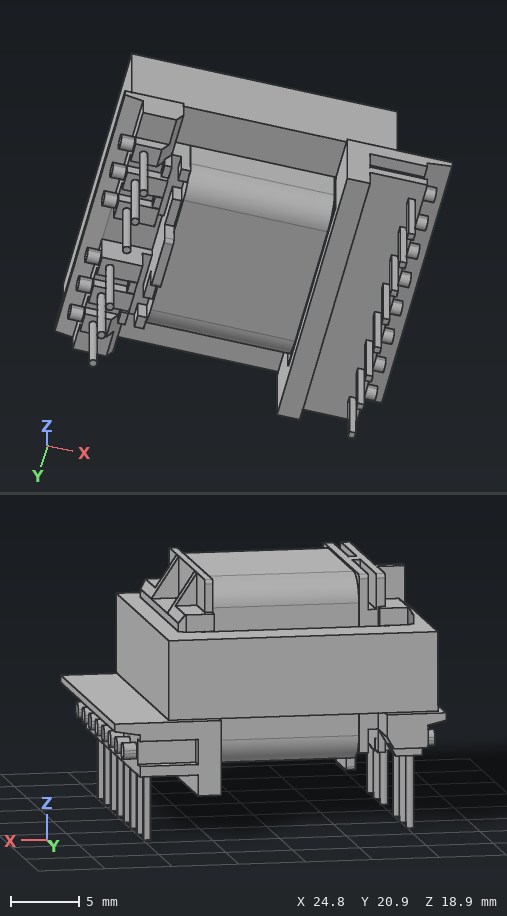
import cadquery as cq


CORE_X = 20.15
CORE_Y = 20.34
CORE_BOTTOM_Z = 0.1
CORE_TOP_Z = 6.03
WINDOW_X = 13.99
WINDOW_OUTER_Y = 7.05
LEG_HALF_Y = 2.95

TUBE_HALF_Y = 3.08
TUBE_TOP_Z = 6.18
FLANGE_END_X = 6.75
FLANGE_HALF_Y = 6.97
FLANGE_TOP_Z = 9.9
FLANGE_ROUND = 0.3
PIN_FLANGE_INNER_X = -4.79
BLOCK_FLANGE_INNER_X = 6.15
BLOCK_FLANGE_BOTTOM_Z = -4.2
WINDING_HALF_Y = 6.85
WINDING_TOP_Z = 9.8
WINDING_BOTTOM_Z = -4.12
WINDING_ROUND = 2.0

SLOT_OUTER_X = -6.08
SLOT_INNER_X = -5.48
SLOT_FLOOR_Z = 7.27
SLOT_BRIDGE_Y = 1.5
SLOT_ROOF_Z = -1.65
PIN_FLANGE_BOTTOM_Z = -3.42
WIRE_EXIT_NEAR_Y = 4.35
WIRE_EXIT_FAR_Y = 5.98
TAB_HALF_Y = 2.08

LEDGE_INNER_X = 6.2
LEDGE_END_X = 8.8
LEDGE_HALF_Y = 7.75
LEDGE_TOP_Z = 7.46
LEDGE_FLOOR_Z = 6.8
LEDGE_CORNER_X = 0.52
LEDGE_CORNER_Y = 0.42
RIB_THICKNESS = 0.82

RAIL_Y = 20.9
RAIL_INNER_X = 6.2
LIP_EDGE_Z = -0.57
LIP_ROOT_Z = -0.9
PIN_RAIL_END_X = -10.65
PIN_RAIL_FACE_X = -9.28
PIN_RAIL_BOTTOM_Z = -2.55
TOOTH_BOTTOM_Z = -3.5
TOOTH_WIDTH = 1.51
CORNER_CUT_X = 1.1
BLOCK_RAIL_END_X = 14.15
BLOCK_RAIL_FACE_X = 12.28
BLOCK_RAIL_BOTTOM_Z = -4.02
BLOCK_WALL_X = 7.94
BLOCK_WALL_BOTTOM_Z = -5.58
GROOVE_TOP_Z = -1.36
GROOVE_BOTTOM_Z = -3.22
GROOVE_DEPTH = 0.95

PIN_PITCH = 2.5
OVERALL_HEIGHT = 18.9
PIN_TIP_Z = FLANGE_TOP_Z - OVERALL_HEIGHT
ROUND_PIN_X = -8.48
ROUND_PIN_DIAMETER = 0.6
SQUARE_PIN_X = 11.45
SQUARE_PIN_SIDE = 0.5
HEAD_LENGTH = 1.0
HEAD_WIDTH = 1.0
HEAD_HEIGHT = 1.22
HEAD_Z = -2.33
ROUND_PIN_YS = [side * step * PIN_PITCH for side in (-1, 1) for step in (1, 2, 3)]
SQUARE_PIN_YS = [side * (step + 0.5) * PIN_PITCH for side in (-1, 1) for step in range(4)]


def block(x_range, y_range, z_range):
    """Box between the given pairs of X, Y and Z limits."""
    size = [high - low for low, high in (x_range, y_range, z_range)]
    return cq.Workplane("XY").box(*size, centered=False).translate((x_range[0], y_range[0], z_range[0]))


def both_sides(half_y):
    """Y limits of a feature centred on the XZ plane."""
    return (-half_y, half_y)


def prism(xz_points, y_range):
    """XZ outline extruded along Y between two limits."""
    outline = cq.Workplane("XZ", origin=(0, y_range[1], 0)).polyline(xz_points).close()
    return outline.extrude(y_range[1] - y_range[0])


def make_core():
    core_z = (CORE_BOTTOM_Z, CORE_TOP_Z)
    core = block(both_sides(CORE_X / 2), both_sides(CORE_Y / 2), core_z)
    for window_y in ((LEG_HALF_Y, WINDOW_OUTER_Y), (-WINDOW_OUTER_Y, -LEG_HALF_Y)):
        core = core.cut(block(both_sides(WINDOW_X / 2), window_y, core_z))
    return core


def make_flange(x_range, bottom_z):
    """Flange plate with rounded upper corners."""
    plate = block(x_range, both_sides(FLANGE_HALF_Y), (bottom_z, FLANGE_TOP_Z))
    return plate.edges("|X and >Z").fillet(FLANGE_ROUND)


def make_pin_flange():
    """-X flange: two plates joined by a web, with a tab under the inner plate."""
    flange = make_flange((-FLANGE_END_X, PIN_FLANGE_INNER_X), PIN_FLANGE_BOTTOM_Z)
    slot_x = (SLOT_OUTER_X, SLOT_INNER_X)
    upper_slot = block(slot_x, both_sides(FLANGE_HALF_Y), (SLOT_FLOOR_Z, FLANGE_TOP_Z))
    bridge = block(slot_x, both_sides(SLOT_BRIDGE_Y / 2), (SLOT_FLOOR_Z, FLANGE_TOP_Z))
    flange = flange.cut(upper_slot.cut(bridge))

    below_web = (PIN_FLANGE_BOTTOM_Z, SLOT_ROOF_Z)
    flange = flange.cut(block((-RAIL_INNER_X, SLOT_INNER_X), both_sides(FLANGE_HALF_Y), below_web))
    flange_x = (-FLANGE_END_X, PIN_FLANGE_INNER_X)
    for exit_y in ((WIRE_EXIT_NEAR_Y, WIRE_EXIT_FAR_Y), (-WIRE_EXIT_FAR_Y, -WIRE_EXIT_NEAR_Y)):
        flange = flange.cut(block(flange_x, exit_y, below_web))

    inner_plate_x = (SLOT_INNER_X, PIN_FLANGE_INNER_X)
    tab = block(inner_plate_x, both_sides(TAB_HALF_Y), (BLOCK_WALL_BOTTOM_Z, SLOT_ROOF_Z))
    return flange.union(tab.edges("|X and <Z").fillet(FLANGE_ROUND))


def make_winding():
    winding = block(
        (PIN_FLANGE_INNER_X, BLOCK_FLANGE_INNER_X),
        both_sides(WINDING_HALF_Y),
        (WINDING_BOTTOM_Z, WINDING_TOP_Z),
    )
    return winding.edges("|X").fillet(WINDING_ROUND)


def make_ledge():
    """Ledge with two sloped ribs, shaped for the +X end."""
    slope = [
        (LEDGE_INNER_X, TUBE_TOP_Z),
        (LEDGE_END_X, TUBE_TOP_Z),
        (LEDGE_END_X, LEDGE_FLOOR_Z),
        (FLANGE_END_X, FLANGE_TOP_Z),
        (LEDGE_INNER_X, FLANGE_TOP_Z),
    ]
    corner_x = LEDGE_END_X - LEDGE_CORNER_X
    corner_y = LEDGE_HALF_Y - LEDGE_CORNER_Y
    outline = [
        (LEDGE_INNER_X, -LEDGE_HALF_Y),
        (corner_x, -LEDGE_HALF_Y),
        (LEDGE_END_X, -corner_y),
        (LEDGE_END_X, corner_y),
        (corner_x, LEDGE_HALF_Y),
        (LEDGE_INNER_X, LEDGE_HALF_Y),
    ]
    ledge = cq.Workplane("XY", origin=(0, 0, TUBE_TOP_Z)).polyline(outline).close()
    ledge = ledge.extrude(LEDGE_TOP_Z - TUBE_TOP_Z).intersect(prism(slope, both_sides(LEDGE_HALF_Y)))
    recess_x = (FLANGE_END_X, LEDGE_END_X)
    ledge = ledge.cut(block(recess_x, both_sides(TUBE_HALF_Y), (LEDGE_FLOOR_Z, LEDGE_TOP_Z)))
    rib_end_y = TUBE_HALF_Y + RIB_THICKNESS
    for rib_y in ((TUBE_HALF_Y, rib_end_y), (-rib_end_y, -TUBE_HALF_Y)):
        ledge = ledge.union(prism(slope, rib_y))
    return ledge


def make_square_rib():
    """Full-height rib that replaces the sloped one at the -X, +Y place."""
    return block(
        (-LEDGE_END_X, -FLANGE_END_X),
        (TUBE_HALF_Y, TUBE_HALF_Y + RIB_THICKNESS),
        (TUBE_TOP_Z, FLANGE_TOP_Z),
    )


def make_pin_rail():
    """-X rail: lipped bar with three teeth on either side of a centre gap."""
    profile = [
        (-RAIL_INNER_X, 0),
        (PIN_RAIL_END_X, 0),
        (PIN_RAIL_END_X, LIP_EDGE_Z),
        (PIN_RAIL_FACE_X, LIP_ROOT_Z),
        (PIN_RAIL_FACE_X, PIN_RAIL_BOTTOM_Z),
        (-RAIL_INNER_X, PIN_RAIL_BOTTOM_Z),
    ]
    rail = prism(profile, both_sides(RAIL_Y / 2))
    tooth_x = (PIN_RAIL_FACE_X, -RAIL_INNER_X)
    for pin_y in ROUND_PIN_YS:
        tooth_y = (pin_y - TOOTH_WIDTH / 2, pin_y + TOOTH_WIDTH / 2)
        rail = rail.union(block(tooth_x, tooth_y, (TOOTH_BOTTOM_Z, PIN_RAIL_BOTTOM_Z)))

    bevel = [
        (-RAIL_INNER_X, SLOT_ROOF_Z),
        (-RAIL_INNER_X - CORNER_CUT_X, TOOTH_BOTTOM_Z),
        (-RAIL_INNER_X, TOOTH_BOTTOM_Z),
    ]
    rail_end_y = RAIL_Y / 2
    bevel_end_y = max(ROUND_PIN_YS) - TOOTH_WIDTH / 2
    for bevel_y in ((bevel_end_y, rail_end_y), (-rail_end_y, -bevel_end_y)):
        rail = rail.cut(prism(bevel, bevel_y))
    return rail


def make_centre_gap():
    """Space between the two groups of teeth, open as far as the inner flange plate."""
    gap_half_y = PIN_PITCH - TOOTH_WIDTH / 2
    gap_x = (PIN_RAIL_FACE_X, SLOT_INNER_X)
    return block(gap_x, both_sides(gap_half_y), (TOOTH_BOTTOM_Z, LIP_ROOT_Z))


def make_block_rail():
    """+X rail: lipped block with a deep inner wall and a groove in each end."""
    profile = [
        (RAIL_INNER_X, 0),
        (BLOCK_RAIL_END_X, 0),
        (BLOCK_RAIL_END_X, LIP_EDGE_Z),
        (BLOCK_RAIL_FACE_X, LIP_ROOT_Z),
        (BLOCK_RAIL_FACE_X, BLOCK_RAIL_BOTTOM_Z),
        (BLOCK_WALL_X, BLOCK_RAIL_BOTTOM_Z),
        (BLOCK_WALL_X, BLOCK_WALL_BOTTOM_Z),
        (RAIL_INNER_X, BLOCK_WALL_BOTTOM_Z),
    ]
    rail = prism(profile, both_sides(RAIL_Y / 2))
    groove_x = (BLOCK_WALL_X, BLOCK_RAIL_FACE_X)
    groove_end_y = RAIL_Y / 2
    groove_start_y = groove_end_y - GROOVE_DEPTH
    for groove_y in ((groove_start_y, groove_end_y), (-groove_end_y, -groove_start_y)):
        rail = rail.cut(block(groove_x, groove_y, (GROOVE_BOTTOM_Z, GROOVE_TOP_Z)))
    return rail


def make_pin_head(start_x, y):
    """Horizontal terminal stub with a rounded-end section, pointing along +X."""
    section = cq.Workplane("YZ", origin=(start_x, y, HEAD_Z)).slot2D(HEAD_HEIGHT, HEAD_WIDTH, 90)
    return section.extrude(HEAD_LENGTH)


def make_round_pin(y):
    shaft = cq.Workplane("XY", origin=(ROUND_PIN_X, y, PIN_TIP_Z)).circle(ROUND_PIN_DIAMETER / 2)
    shaft = shaft.extrude(TOOTH_BOTTOM_Z - PIN_TIP_Z)
    return shaft, make_pin_head(PIN_RAIL_FACE_X - HEAD_LENGTH, y)


def make_square_pin(y):
    shaft = cq.Workplane("XY", origin=(SQUARE_PIN_X, y, PIN_TIP_Z)).rect(SQUARE_PIN_SIDE, SQUARE_PIN_SIDE)
    shaft = shaft.extrude(BLOCK_RAIL_BOTTOM_Z - PIN_TIP_Z)
    return shaft, make_pin_head(BLOCK_RAIL_FACE_X, y)


def make_bobbin():
    bobbin = make_winding().union(make_pin_flange())
    bobbin = bobbin.union(make_flange((BLOCK_FLANGE_INNER_X, FLANGE_END_X), BLOCK_FLANGE_BOTTOM_Z))
    bobbin = bobbin.union(make_ledge()).union(make_ledge().mirror("YZ")).union(make_square_rib())
    bobbin = bobbin.union(make_pin_rail()).cut(make_centre_gap()).union(make_block_rail())
    tube_opening = block(both_sides(FLANGE_END_X), both_sides(TUBE_HALF_Y), (0, TUBE_TOP_Z))
    bobbin = bobbin.cut(tube_opening)
    pins = [make_round_pin(y) for y in ROUND_PIN_YS] + [make_square_pin(y) for y in SQUARE_PIN_YS]
    for shaft, head in pins:
        bobbin = bobbin.union(shaft).union(head)
    return bobbin


core = make_core()
bobbin = make_bobbin()

result = cq.Compound.makeCompound([core.val(), bobbin.solids().val()])